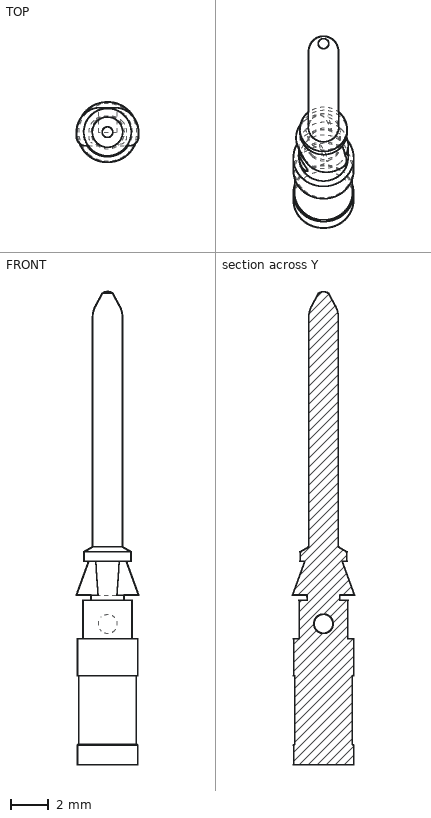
import cadquery as cq
import math

flange_top = 1.1
lip_height = 0.06
barrel_bottom = 4.7
barrel_top = 6.67
band_top = 8.7
barb_bottom = 8.96
collar_bottom = 10.75
collar_top = 11.25
pin_bottom = 11.51
total_length = 25.0

barrel_radius = 1.6
waist_radius = 1.525
band_radius = 1.3
neck_radius = 0.875
collar_radius = 1.25
pin_radius = 0.8

tip_length = 1.38
shoulder_height = 0.52
tip_cone_angle = math.radians(24)
dome_radius = 0.28
dome_height = 0.1

barb_bottom_section = dict(half_width=1.65, front=0.72, back=1.3, corner=0.5)
barb_top_section = dict(half_width=1.0, front=0.62, back=0.87, corner=0.36)

sight_hole_radius = 0.5
sight_hole_z = 7.45


def turned_body():
    """Revolve the stepped profile of the contact about the Z axis."""
    shoulder_bottom = total_length - tip_length
    shoulder_radius = shoulder_height / math.sin(tip_cone_angle)
    shoulder_center = pin_radius - shoulder_radius
    half_angle = tip_cone_angle / 2
    shoulder_mid = (
        shoulder_center + shoulder_radius * math.cos(half_angle),
        shoulder_bottom + shoulder_radius * math.sin(half_angle),
    )
    shoulder_end = (
        shoulder_center + shoulder_radius * math.cos(tip_cone_angle),
        shoulder_bottom + shoulder_height,
    )
    dome_sphere = (dome_radius**2 + dome_height**2) / (2 * dome_height)
    dome_half_angle = math.asin(dome_radius / dome_sphere) / 2
    dome_mid = (
        dome_sphere * math.sin(dome_half_angle),
        total_length - dome_sphere * (1 - math.cos(dome_half_angle)),
    )
    profile = (
        cq.Workplane("XZ")
        .moveTo(0, 0)
        .lineTo(barrel_radius, 0)
        .lineTo(barrel_radius, flange_top - lip_height)
        .lineTo(waist_radius, flange_top)
        .lineTo(waist_radius, barrel_bottom)
        .lineTo(barrel_radius, barrel_bottom)
        .lineTo(barrel_radius, barrel_top)
        .lineTo(band_radius, barrel_top)
        .lineTo(band_radius, band_top)
        .lineTo(neck_radius, band_top)
        .lineTo(neck_radius, collar_bottom)
        .lineTo(collar_radius, collar_bottom)
        .lineTo(collar_radius, collar_top)
        .lineTo(pin_radius, pin_bottom)
        .lineTo(pin_radius, shoulder_bottom)
        .threePointArc(shoulder_mid, shoulder_end)
        .lineTo(dome_radius, total_length - dome_height)
        .threePointArc(dome_mid, (0, total_length))
        .close()
    )
    return profile.revolve(360, (0, 0, 0), (0, 1, 0))


def barb_outline(z, half_width, front, back, corner):
    """Closed wire of a barb section: small front corners, large round back corners."""
    diagonal = math.sqrt(0.5)
    back_center = half_width - back
    corner_x = half_width - corner
    corner_y = corner - front
    outline = (
        cq.Workplane("XY", origin=(0, 0, z))
        .moveTo(-corner_x, -front)
        .lineTo(corner_x, -front)
        .threePointArc((corner_x + corner * diagonal, corner_y - corner * diagonal), (half_width, corner_y))
        .lineTo(half_width, 0)
        .threePointArc((back_center + back * diagonal, back * diagonal), (back_center, back))
        .lineTo(-back_center, back)
        .threePointArc((-back_center - back * diagonal, back * diagonal), (-half_width, 0))
        .lineTo(-half_width, corner_y)
        .threePointArc((-corner_x - corner * diagonal, corner_y - corner * diagonal), (-corner_x, -front))
        .close()
    )
    return outline.val()


def barbs():
    """Flared retention barbs, widening downwards from the collar."""
    lower = barb_outline(barb_bottom, **barb_bottom_section)
    upper = barb_outline(collar_bottom, **barb_top_section)
    return cq.Workplane(cq.Solid.makeLoft([lower, upper], True))


def sight_hole():
    """Radial cylinder from the axis out through the +Y side of the band."""
    return cq.Workplane("XZ", origin=(0, 0, sight_hole_z)).circle(sight_hole_radius).extrude(-barrel_radius)


result = turned_body().union(barbs()).cut(sight_hole())